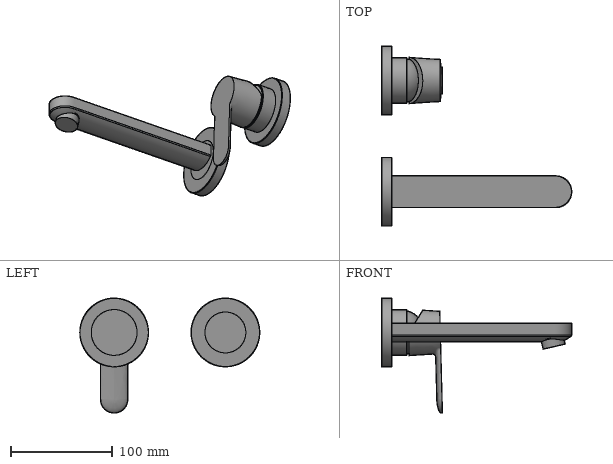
import cadquery as cq
import math


ROSETTE_DIAMETER = 68.0
ROSETTE_THICKNESS = 10.2
ROSETTE_EDGE_CHAMFER = 0.5
AXIS_SPACING = 110.0

SPOUT_REACH = 188.0
SPOUT_HALF_WIDTH = 15.8
SPOUT_TOP = 9.4
SPOUT_BOTTOM = -9.4
SPOUT_TOP_CHAMFER = 0.4
SPOUT_SIDE_BOTTOM = -2.5
SPOUT_EDGE_WIDTH = 0.8
SPOUT_EDGE_HEIGHT = 1.3
SPOUT_SPIGOT_DIAMETER = 40.5

AERATOR_DIAMETER = 22.5
AERATOR_LENGTH = 9.4
AERATOR_TILT = 13.0
AERATOR_OUTLET_X = 170.5
AERATOR_OUTLET_Z = -14.1

SLEEVE_DIAMETER = 45.3
SLEEVE_END = 25.2
SLEEVE_CHAMFER = 0.5

DOME_RADIUS = 22.2
DOME_CENTRE_X = 19.7
DOME_CLEARANCE = 0.2

HANDLE_START = 27.0
HANDLE_BASE_DIAMETER = 46.0
HANDLE_END = 58.0
HANDLE_END_DIAMETER = 42.0
HANDLE_END_TILT = 1.5
HANDLE_MOUTH_ANGLE = 58.5

LEVER_HALF_WIDTH = 13.5
LEVER_TIP = 79.7
LEVER_THICKNESS = 5.5
LEVER_SIDE_HEIGHT = 1.1
LEVER_BLEND_RADIUS = 2.8


def x_cylinder(diameter, start, end):
    return cq.Workplane("YZ", origin=(start, 0, 0)).circle(diameter / 2).extrude(end - start)


def round_ended_bar(half_section, length, end_radius):
    """Bar along X whose mirrored half section (Y, Z) is swept half a turn round the far end."""
    straight = length - end_radius
    half_bar = half_section(cq.Workplane("YZ")).extrude(straight)
    bar = half_bar.union(half_bar.mirror("XZ"))
    end = half_section(cq.Workplane("YZ", origin=(straight, 0, 0))).revolve(180, (0, 0), (0, -1))
    return bar.union(end)


def rosette(bore_diameter):
    plate = x_cylinder(ROSETTE_DIAMETER, 0, ROSETTE_THICKNESS)
    plate = plate.faces(">X").edges().chamfer(ROSETTE_EDGE_CHAMFER)
    return plate.cut(x_cylinder(bore_diameter, 0, ROSETTE_THICKNESS))


def spout_half_section(plane):
    """Flat top and side, a small bevel, and a belly that is an arc centred on the spout axis."""
    belly_half_width = SPOUT_HALF_WIDTH - SPOUT_EDGE_WIDTH
    belly_start = SPOUT_SIDE_BOTTOM - SPOUT_EDGE_HEIGHT
    sagitta = belly_start - SPOUT_BOTTOM
    belly_radius = (belly_half_width**2 + sagitta**2) / (2 * sagitta)
    middle_y = belly_half_width / 2
    middle_z = SPOUT_BOTTOM + belly_radius - math.sqrt(belly_radius**2 - middle_y**2)
    return (
        plane.moveTo(0, SPOUT_TOP)
        .lineTo(SPOUT_HALF_WIDTH - SPOUT_TOP_CHAMFER, SPOUT_TOP)
        .lineTo(SPOUT_HALF_WIDTH, SPOUT_TOP - SPOUT_TOP_CHAMFER)
        .lineTo(SPOUT_HALF_WIDTH, SPOUT_SIDE_BOTTOM)
        .lineTo(belly_half_width, belly_start)
        .threePointArc((middle_y, middle_z), (0, SPOUT_BOTTOM))
        .close()
    )


def aerator():
    outlet = cq.Workplane("XY").circle(AERATOR_DIAMETER / 2).extrude(AERATOR_LENGTH)
    outlet = outlet.rotate((0, 0, 0), (0, 1, 0), -AERATOR_TILT)
    return outlet.translate((AERATOR_OUTLET_X, 0, AERATOR_OUTLET_Z))


def spout(outlet):
    """Arm beyond the rosette, a round spigot through it, and a pocket for the aerator."""
    arm = round_ended_bar(spout_half_section, SPOUT_REACH, SPOUT_HALF_WIDTH)
    beyond_rosette = x_cylinder(ROSETTE_DIAMETER, ROSETTE_THICKNESS, SPOUT_REACH)
    spigot = x_cylinder(SPOUT_SPIGOT_DIAMETER, 0, ROSETTE_THICKNESS)
    return arm.intersect(beyond_rosette).union(spigot).cut(outlet)


def sleeve():
    body = x_cylinder(SLEEVE_DIAMETER, 0, SLEEVE_END)
    return body.faces(">X").edges().chamfer(SLEEVE_CHAMFER)


def x_ball(radius, start):
    """Ball on the valve axis, centred at DOME_CENTRE_X, with its part before X = start left off."""
    start_radius = math.sqrt(radius**2 - (start - DOME_CENTRE_X) ** 2)
    middle_angle = math.atan2(start_radius, start - DOME_CENTRE_X) / 2
    arc_middle = (
        DOME_CENTRE_X + radius * math.cos(middle_angle),
        radius * math.sin(middle_angle),
    )
    return (
        cq.Workplane("XY")
        .moveTo(start, 0)
        .lineTo(start, start_radius)
        .threePointArc(arc_middle, (DOME_CENTRE_X + radius, 0))
        .close()
        .revolve(360, (0, 0), (1, 0))
    )


def dome():
    return x_ball(DOME_RADIUS, SLEEVE_END)


def handle_shell():
    """Tapered body with a leaning end face and a mouth cut away above the valve axis."""
    extra = 3.8
    base = HANDLE_BASE_DIAMETER / 2
    end = HANDLE_END_DIAMETER / 2
    slope = (end - base) / (HANDLE_END - HANDLE_START)
    cone = (
        cq.Workplane("XZ")
        .polyline([
            (HANDLE_START, 0),
            (HANDLE_START, base),
            (HANDLE_END + extra, end + slope * extra),
            (HANDLE_END + extra, 0),
        ])
        .close()
        .revolve(360, (0, 0), (1, 0))
    )
    lean = math.tan(math.radians(HANDLE_END_TILT)) * HANDLE_BASE_DIAMETER
    mouth = HANDLE_BASE_DIAMETER / math.tan(math.radians(HANDLE_MOUTH_ANGLE))
    outline = (
        cq.Workplane("XZ")
        .polyline([
            (HANDLE_START, -HANDLE_BASE_DIAMETER),
            (HANDLE_START, 0),
            (HANDLE_START + mouth, HANDLE_BASE_DIAMETER),
            (HANDLE_END - lean, HANDLE_BASE_DIAMETER),
            (HANDLE_END + lean, -HANDLE_BASE_DIAMETER),
        ])
        .close()
        .extrude(HANDLE_BASE_DIAMETER, both=True)
    )
    return cone.intersect(outline)


def lever_half_section(plane):
    """Flat outer side, short straight edge and a quarter ellipse to the middle of the inner side."""
    return (
        plane.moveTo(0, 0)
        .lineTo(LEVER_HALF_WIDTH, 0)
        .lineTo(LEVER_HALF_WIDTH, LEVER_SIDE_HEIGHT)
        .ellipseArc(LEVER_HALF_WIDTH, LEVER_THICKNESS - LEVER_SIDE_HEIGHT, 0, 90)
        .close()
    )


def lever():
    """Round-ended bar turned to hang from the valve axis, its flat side in the end face."""
    bar = round_ended_bar(lever_half_section, LEVER_TIP, LEVER_HALF_WIDTH)
    bar = bar.rotate((0, 0, 0), (0, 1, 0), 90).rotate((0, 0, 0), (0, 0, 1), 180)
    bar = bar.rotate((0, 0, 0), (0, 1, 0), -HANDLE_END_TILT)
    return bar.translate((HANDLE_END, 0, 0))


def handle():
    grip = handle_shell().union(lever())
    grip = grip.edges("%BSPLINE").fillet(LEVER_BLEND_RADIUS)
    return grip.cut(x_ball(DOME_RADIUS + DOME_CLEARANCE, SLEEVE_END))


def on_valve_axis(body):
    return body.translate((0, AXIS_SPACING, 0))


spout_rosette = rosette(SPOUT_SPIGOT_DIAMETER)
spout_aerator = aerator()
spout_arm = spout(spout_aerator)
valve_rosette = on_valve_axis(rosette(SLEEVE_DIAMETER))
valve_sleeve = on_valve_axis(sleeve())
valve_dome = on_valve_axis(dome())
valve_handle = on_valve_axis(handle())

result = cq.Compound.makeCompound([
    spout_rosette.val(),
    spout_arm.val(),
    spout_aerator.val(),
    valve_rosette.val(),
    valve_sleeve.val(),
    valve_dome.val(),
    valve_handle.val(),
])